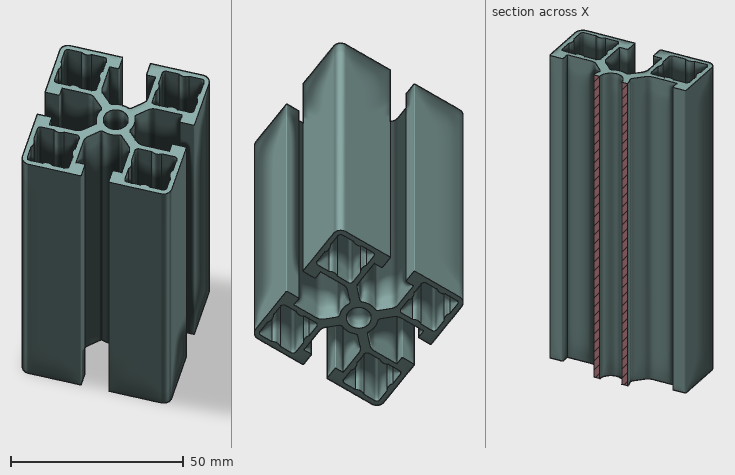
import cadquery as cq
import math

side = 45.0
length = 100.0
half_side = side / 2
corner_radius = 2.5

slot_width = 8.3
lip_thickness = 4.4
lip_edge_radius = 0.3
channel_width = 13.8
channel_end_radius = 3.0

bore_diameter = 7.2
hub_radius = 5.6
web_thickness = 2.9
web_root_radius = 1.0

outer_wall = 1.5
chamber_wall = 1.5
chamber_radius = 1.0
bump_half_width = 1.5
bump_height = 0.5

chamber_inner = channel_width / 2 + chamber_wall
chamber_outer = half_side - outer_wall
chamber_side = chamber_outer - chamber_inner
chamber_center = (chamber_outer + chamber_inner) / 2


def slot_cutter():
    """T-slot open to +Y: neck, wide channel and 45 degree web faces meeting the round hub."""
    neck = slot_width / 2
    channel = channel_width / 2
    lip_y = half_side - lip_thickness
    apex_y = web_thickness / math.sqrt(2)
    channel_end_y = channel + apex_y
    web_root_angle = math.pi / 4 + math.asin(web_thickness / 2 / hub_radius)
    web_root_x = hub_radius * math.cos(web_root_angle)
    web_root_y = hub_radius * math.sin(web_root_angle)

    slot = (
        cq.Workplane("XY")
        .moveTo(-neck - lip_edge_radius, half_side)
        .radiusArc((-neck, half_side - lip_edge_radius), lip_edge_radius)
        .lineTo(-neck, lip_y + lip_edge_radius)
        .radiusArc((-neck - lip_edge_radius, lip_y), lip_edge_radius)
        .lineTo(-channel, lip_y)
        .lineTo(-channel, channel_end_y)
        .lineTo(-web_root_x, web_root_y)
        .threePointArc((0, hub_radius), (web_root_x, web_root_y))
        .lineTo(channel, channel_end_y)
        .lineTo(channel, lip_y)
        .lineTo(neck + lip_edge_radius, lip_y)
        .radiusArc((neck, lip_y + lip_edge_radius), lip_edge_radius)
        .lineTo(neck, half_side - lip_edge_radius)
        .radiusArc((neck + lip_edge_radius, half_side), lip_edge_radius)
        .close()
        .extrude(length)
    )
    for mirror in (-1, 1):
        channel_edge = cq.NearestToPointSelector((mirror * channel, channel_end_y, length / 2))
        slot = slot.edges(channel_edge).fillet(channel_end_radius)
        root_edge = cq.NearestToPointSelector((mirror * web_root_x, web_root_y, length / 2))
        slot = slot.edges(root_edge).fillet(web_root_radius)
    return slot


def chamber_cutter():
    """Rounded square chamber in the +X +Y corner with a shallow round bump on each wall."""
    chamber = cq.Workplane("XY").rect(chamber_side, chamber_side).extrude(length)
    chamber = chamber.edges("|Z").fillet(chamber_radius)
    bump_radius = (bump_half_width**2 + bump_height**2) / (2 * bump_height)
    bump_offset = chamber_side / 2 + bump_radius - bump_height
    bumps = (
        cq.Workplane("XY")
        .polarArray(bump_offset, 0, 360, 4)
        .circle(bump_radius)
        .extrude(length)
    )
    return chamber.cut(bumps).translate((chamber_center, chamber_center, 0))


result = cq.Workplane("XY").rect(side, side).extrude(length)
result = result.edges("|Z").fillet(corner_radius)

slot = slot_cutter()
chamber = chamber_cutter()
for quarter_turn in range(4):
    angle = 90 * quarter_turn
    result = result.cut(slot.rotate((0, 0, 0), (0, 0, 1), angle))
    result = result.cut(chamber.rotate((0, 0, 0), (0, 0, 1), angle))

result = result.faces(">Z").workplane(origin=(0, 0, length)).hole(bore_diameter)